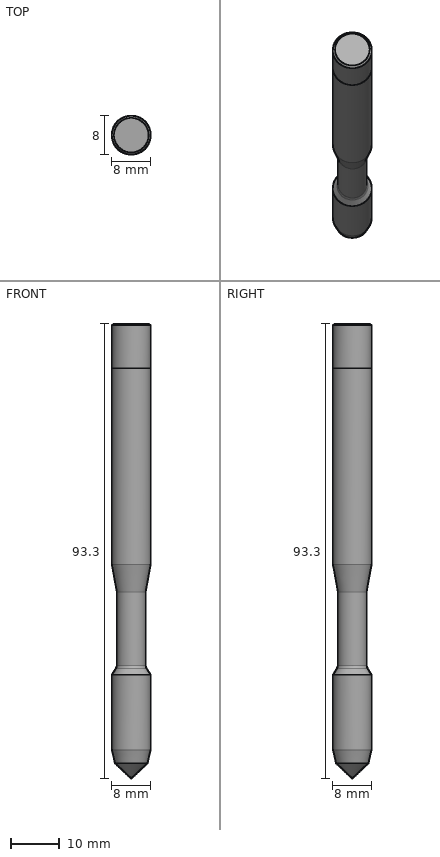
import cadquery as cq
import math

length = 93.3
body_radius = 4.0
neck_radius = 3.0
nose_radius = 3.4

nose_base_height = 3.2
head_bottom_height = 6.0
head_top_height = 21.3
neck_top_height = 38.4
shank_bottom_height = 44.0

shoulder_angle = 32.0
shoulder_fillet = 1.2

cap_length = 9.1
cap_chamfer_width = 0.5
cap_chamfer_height = 0.4

shoulder_height = (body_radius - neck_radius) / math.tan(math.radians(shoulder_angle))
neck_bottom_height = head_top_height + shoulder_height
cap_bottom_height = length - cap_length


def make_pin():
    """Turned pin: pointed nose, cylindrical head, filleted shoulder, waisted neck and long shank."""
    profile = [
        (0, 0),
        (nose_radius, nose_base_height),
        (body_radius, head_bottom_height),
        (body_radius, head_top_height),
        (neck_radius, neck_bottom_height),
        (neck_radius, neck_top_height),
        (body_radius, shank_bottom_height),
        (body_radius, cap_bottom_height),
        (0, cap_bottom_height),
    ]
    pin = cq.Workplane("XZ").polyline(profile).close().revolve(360, (0, 0), (0, 1))
    neck_foot = cq.NearestToPointSelector((0, 0, neck_bottom_height))
    return pin.edges("%CIRCLE").edges(neck_foot).fillet(shoulder_fillet)


def make_cap():
    """Cylindrical cap sitting on the shank, with a chamfered top rim."""
    return (
        cq.Workplane("XY")
        .workplane(offset=cap_bottom_height)
        .circle(body_radius)
        .extrude(cap_length)
        .faces(">Z")
        .chamfer(cap_chamfer_height, cap_chamfer_width)
    )


pin = make_pin()
cap = make_cap()

result = cq.Compound.makeCompound([pin.val(), cap.val()])